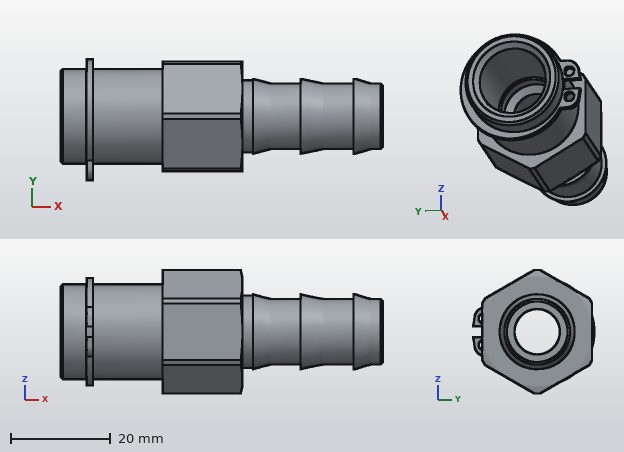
import cadquery as cq
import math

TOTAL_LENGTH = 64.5
HEX_START = 20.45
HEX_END = 36.4
RING_START = 5.2
RING_THICKNESS = 1.3

BODY_DIAMETER = 19.0
BODY_CHAMFER = 0.5
GROOVE_DIAMETER = 18.0
GROOVE_CLEARANCE = 0.1

HEX_ACROSS_FLATS = 22.0
HEX_CORNER_DIAMETER = 24.8
HEX_CHAMFER_LENGTH = 0.3

NECK_DIAMETER = 14.5
TAIL_DIAMETER = 13.15
BARB_DIAMETER = 15.0
TAIL_CHAMFER = 0.5
BARBS = [
    (38.5, 0.0, 42.05),
    (48.05, 0.0, 52.55),
    (58.55, 0.4, 62.05),
]

MOUTH_DIAMETER = 15.75
SOCKET_BORE_DIAMETER = 13.5
MOUTH_CHAMFER = (MOUTH_DIAMETER - SOCKET_BORE_DIAMETER) / 2
SOCKET_BORE_DEPTH = HEX_START
SEAT_DIAMETER = 12.5
SEAT_LENGTH = 3.2
BORE_DIAMETER = 9.0
SEAT_CONE_HALF_ANGLE = 60.0

RING_OUTER_RADIUS = 10.8
RING_OFFSET = 0.7
RING_GAP = 2.1
LUG_TIP = 12.85
LUG_ROUND_RADIUS = 2.25
LUG_ROUND_CENTER = (10.3, 2.65)
LUG_HOLE_DIAMETER = 2.0
LUG_HOLE_CENTER = (10.7, 2.65)


def revolve_about_x(profile):
    """Revolve a closed outline of (x, radius) points around the X axis."""
    outline = cq.Workplane("XY").polyline(profile).close()
    return outline.revolve(360, (0, 0, 0), (1, 0, 0))


def cylinder(start, length, diameter):
    return cq.Workplane("YZ", origin=(start, 0, 0)).circle(diameter / 2).extrude(length)


def make_socket_body():
    body = cylinder(0, HEX_START, BODY_DIAMETER).faces("<X").chamfer(BODY_CHAMFER)
    groove_start = RING_START - GROOVE_CLEARANCE
    groove_length = RING_THICKNESS + GROOVE_CLEARANCE
    groove = cylinder(groove_start, groove_length, BODY_DIAMETER)
    return body.cut(groove.cut(cylinder(groove_start, groove_length, GROOVE_DIAMETER)))


def make_hexagon():
    across_corners = HEX_ACROSS_FLATS / math.cos(math.pi / 6)
    prism = (
        cq.Workplane("YZ", origin=(HEX_START, 0, 0))
        .polygon(6, across_corners)
        .extrude(HEX_END - HEX_START)
        .rotate((0, 0, 0), (1, 0, 0), 90)
    )
    envelope = revolve_about_x([
        (HEX_START, 0),
        (HEX_START, HEX_CORNER_DIAMETER / 2),
        (HEX_END - HEX_CHAMFER_LENGTH, HEX_CORNER_DIAMETER / 2),
        (HEX_END, HEX_ACROSS_FLATS / 2),
        (HEX_END, 0),
    ])
    return prism.intersect(envelope)


def make_hose_tail():
    tail = cylinder(HEX_END, TOTAL_LENGTH - HEX_END, TAIL_DIAMETER).faces(">X").chamfer(TAIL_CHAMFER)
    first_barb_start = BARBS[0][0]
    tail = tail.union(cylinder(HEX_END, first_barb_start - HEX_END, NECK_DIAMETER))
    for start, crest_length, taper_end in BARBS:
        profile = [(start, 0), (start, BARB_DIAMETER / 2)]
        if crest_length > 0:
            profile.append((start + crest_length, BARB_DIAMETER / 2))
        profile += [(taper_end, TAIL_DIAMETER / 2), (taper_end, 0)]
        tail = tail.union(revolve_about_x(profile))
    return tail


def make_bore():
    seat_end = SOCKET_BORE_DEPTH + SEAT_LENGTH
    cone_depth = (SEAT_DIAMETER - BORE_DIAMETER) / 2
    cone_end = seat_end + cone_depth / math.tan(math.radians(SEAT_CONE_HALF_ANGLE))
    return revolve_about_x([
        (0, 0),
        (0, MOUTH_DIAMETER / 2),
        (MOUTH_CHAMFER, SOCKET_BORE_DIAMETER / 2),
        (SOCKET_BORE_DEPTH, SOCKET_BORE_DIAMETER / 2),
        (SOCKET_BORE_DEPTH, SEAT_DIAMETER / 2),
        (seat_end, SEAT_DIAMETER / 2),
        (cone_end, BORE_DIAMETER / 2),
        (TOTAL_LENGTH, BORE_DIAMETER / 2),
        (TOTAL_LENGTH, 0),
    ])


def make_retaining_ring():
    plane = cq.Workplane("YZ", origin=(RING_START, 0, 0))
    ring = plane.center(RING_OFFSET, 0).circle(RING_OUTER_RADIUS).extrude(RING_THICKNESS)
    lug_root = GROOVE_DIAMETER / 2 - RING_THICKNESS
    round_y, round_z = LUG_ROUND_CENTER
    diagonal = LUG_ROUND_RADIUS * math.sqrt(0.5)
    half_height = round_z + LUG_ROUND_RADIUS
    round_end = round_y + LUG_ROUND_RADIUS
    lugs = (
        plane.moveTo(-lug_root, -half_height)
        .lineTo(-round_y, -half_height)
        .threePointArc((-round_y - diagonal, -round_z - diagonal), (-round_end, -round_z))
        .lineTo(-LUG_TIP, -RING_GAP / 2)
        .lineTo(-LUG_TIP, RING_GAP / 2)
        .lineTo(-round_end, round_z)
        .threePointArc((-round_y - diagonal, round_z + diagonal), (-round_y, half_height))
        .lineTo(-lug_root, half_height)
        .close()
        .extrude(RING_THICKNESS)
    )
    hole_y, hole_z = LUG_HOLE_CENTER
    holes = (
        plane.pushPoints([(-hole_y, hole_z), (-hole_y, -hole_z)])
        .circle(LUG_HOLE_DIAMETER / 2)
        .extrude(RING_THICKNESS)
    )
    gap = plane.center(-LUG_TIP / 2, 0).rect(LUG_TIP, RING_GAP).extrude(RING_THICKNESS)
    inside = plane.circle(GROOVE_DIAMETER / 2).extrude(RING_THICKNESS)
    return ring.union(lugs).cut(holes).cut(gap).cut(inside)


fitting = make_socket_body().union(make_hexagon()).union(make_hose_tail())
result = fitting.union(make_retaining_ring()).cut(make_bore())